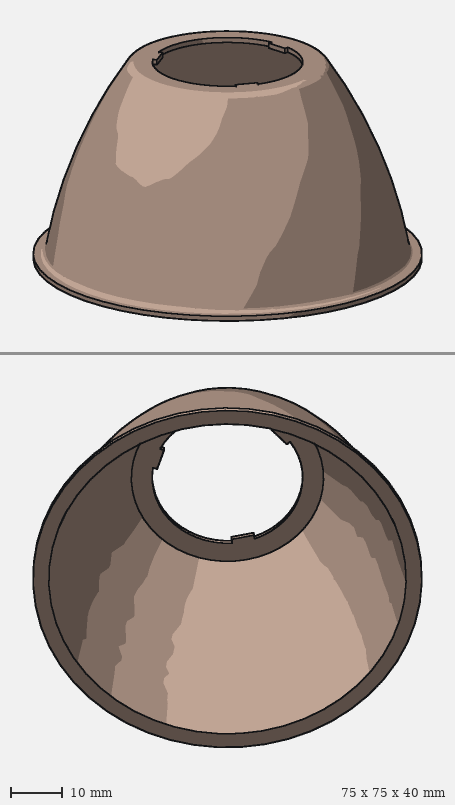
import cadquery as cq
import math

height = 40.0
sheet = 1.0
flange_radius = 37.5
wall_base_radius = 35.3
wall_top_radius = 19.05
wall_curve_radius = 95.0
top_fillet = 1.75
base_fillet = 0.9

opening_radius = 14.5
tab_count = 3
tab_width = 4.4
tab_tip_distance = 13.5
tab_start_angle = -1.2

chord_r = wall_top_radius - wall_base_radius
chord_z = height - sheet
chord = math.hypot(chord_r, chord_z)
centre_offset = math.sqrt(wall_curve_radius**2 - (chord / 2) ** 2)
centre_r = (wall_base_radius + wall_top_radius) / 2 - centre_offset * chord_z / chord
centre_z = (sheet + height) / 2 + centre_offset * chord_r / chord


def wall_point(curve_radius, z):
    """Point at height z on an arc concentric with the outer wall."""
    return (centre_r + math.sqrt(curve_radius**2 - (z - centre_z) ** 2), z)


def revolved_bell():
    """Flange, curved wall and top ring as one revolved sheet profile."""
    inner_curve = wall_curve_radius - sheet
    ring_underside = height - sheet
    profile = (
        cq.Workplane("XZ")
        .moveTo(*wall_point(inner_curve, 0))
        .lineTo(flange_radius, 0)
        .lineTo(flange_radius, sheet)
        .lineTo(wall_base_radius, sheet)
        .threePointArc(wall_point(wall_curve_radius, height / 2), (wall_top_radius, height))
        .lineTo(opening_radius, height)
        .lineTo(opening_radius, ring_underside)
        .lineTo(*wall_point(inner_curve, ring_underside))
        .threePointArc(wall_point(inner_curve, height / 2), wall_point(inner_curve, 0))
        .close()
    )
    return profile.revolve(360, (0, 0, 0), (0, 1, 0))


def edges_within(z, radius):
    """Box selector for edges lying at height z inside this radius."""
    margin = 0.1
    reach = radius + margin
    low_corner = (-reach, -reach, z - margin)
    high_corner = (reach, reach, z + margin)
    return cq.selectors.BoxSelector(low_corner, high_corner, boundingbox=True)


def round_wall_ends(bell):
    """Round the rim at the top of the wall and the corner at its foot."""
    rim = edges_within(height, wall_top_radius) - edges_within(height, opening_radius)
    bell = bell.edges(rim).fillet(top_fillet)
    return bell.edges(edges_within(sheet, wall_base_radius)).fillet(base_fillet)


def tab(angle):
    """Small flat-tipped tab that reaches inward from the edge of the opening."""
    ring_overlap = 0.5
    length = opening_radius + ring_overlap - tab_tip_distance
    return (
        cq.Workplane("XY", origin=(0, 0, height - sheet))
        .center(tab_tip_distance + length / 2, 0)
        .rect(length, tab_width)
        .extrude(sheet)
        .rotate((0, 0, 0), (0, 0, 1), angle)
    )


result = round_wall_ends(revolved_bell())
for index in range(tab_count):
    result = result.union(tab(tab_start_angle + index * 360 / tab_count))